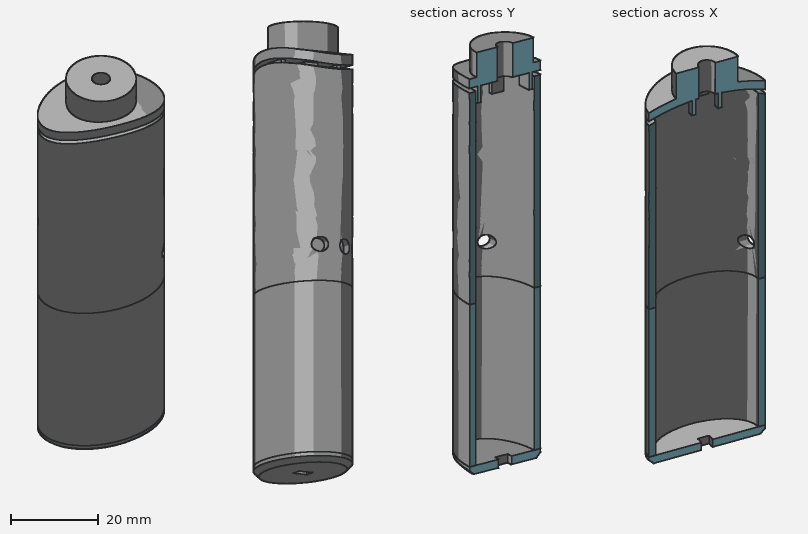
import cadquery as cq

overall_height = 103.5
oval_width = 20.0
oval_depth = 30.0
wall = 1.9

base_top = 2.2
lower_top = 42.0
upper_crown = 94.0
seam_gap = 1.0
plate_thickness = 2.4
arch_radius = 45.5

base_chamfer = 1.2
vent_width = 3.5
vent_depth = 2.9

hole_diameter = 3.4
hole_offset = 3.2
hole_z = 50.5

nozzle_diameter = 16.0
airway_diameter = 4.1
tab_length = 4.1
tab_thickness = 1.0
inner_tab_width = 3.3
side_tab_width = 7.8
tab_clearance = 0.4

half_width = oval_width / 2
half_depth = oval_depth / 2
bore_half_width = half_width - wall
bore_half_depth = half_depth - wall
plate_bottom = upper_crown + seam_gap
plate_top = plate_bottom + plate_thickness


def oval(bottom, top, x_radius=half_width, y_radius=half_depth):
    """Upright elliptical cylinder between two heights."""
    return cq.Workplane("XY").workplane(offset=bottom).ellipse(x_radius, y_radius).extrude(top - bottom)


def tube(bottom, top):
    """Elliptical tube whose bore is smaller by one wall on each axis."""
    return oval(bottom, top).cut(oval(bottom, top, bore_half_width, bore_half_depth))


def arch(crown):
    """Cylinder along X whose upper surface peaks at the given height."""
    return (
        cq.Workplane("YZ")
        .center(0, crown - arch_radius)
        .circle(arch_radius)
        .extrude(half_width + wall, both=True)
    )


def make_base_cap():
    """Closing plate with a chamfered lower edge and a rectangular vent."""
    cap = oval(0, base_top).faces("<Z").chamfer(base_chamfer)
    vent = cq.Workplane("XY").rect(vent_width, vent_depth).extrude(base_top)
    return cap.cut(vent)


def make_lower_housing():
    """Plain oval tube."""
    return tube(base_top, lower_top)


def make_upper_housing():
    """Tube with an arched rim and a pair of round holes in its +Y wall."""
    housing = tube(lower_top, plate_top).intersect(arch(upper_crown))
    holes = (
        cq.Workplane("XZ")
        .pushPoints([(-hole_offset, hole_z), (hole_offset, hole_z)])
        .circle(hole_diameter / 2)
        .extrude(-half_depth)
    )
    return housing.cut(holes)


def make_tabs():
    """Four flat tabs that reach down into the bore: two beside the airway, two near the sides."""
    tab_bottom = plate_bottom - tab_length
    inner_y = (side_tab_width - tab_thickness) / 2
    side_x = bore_half_width - tab_clearance - tab_thickness / 2
    height = plate_top - tab_bottom
    inner_tab = cq.Workplane("XY").rect(inner_tab_width, tab_thickness).extrude(height)
    side_tab = cq.Workplane("XY").rect(tab_thickness, side_tab_width).extrude(height)
    tabs = cq.Workplane("XY")
    for side in (-1, 1):
        tabs = tabs.add(inner_tab.translate((0, side * inner_y, tab_bottom)))
        tabs = tabs.add(side_tab.translate((side * side_x, 0, tab_bottom)))
    return tabs.combine().intersect(arch(plate_top))


def make_mouthpiece():
    """Arched plate with a round nozzle on top, locating tabs below and an airway through it."""
    plate = oval(lower_top, overall_height).intersect(arch(plate_top)).cut(arch(plate_bottom))
    nozzle = (
        cq.Workplane("XY")
        .workplane(offset=plate_bottom)
        .circle(nozzle_diameter / 2)
        .extrude(overall_height - plate_bottom)
        .cut(arch(plate_bottom))
    )
    airway = cq.Workplane("XY").circle(airway_diameter / 2).extrude(overall_height)
    return plate.union(nozzle).union(make_tabs()).cut(airway)


base_cap = make_base_cap()
lower_housing = make_lower_housing()
upper_housing = make_upper_housing()
mouthpiece = make_mouthpiece()

result = cq.Compound.makeCompound([
    base_cap.val(),
    lower_housing.val(),
    upper_housing.val(),
    mouthpiece.val(),
])